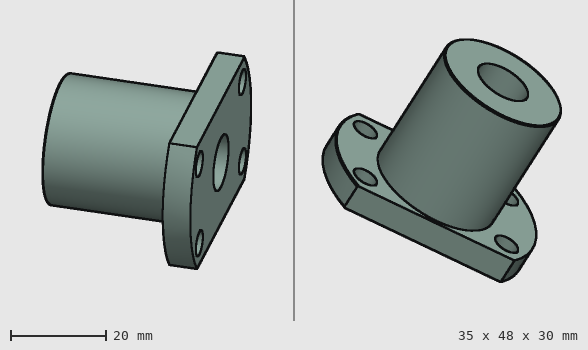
import cadquery as cq

flange_diameter = 48.0
flange_height = 30.0
flange_thickness = 6.0
flange_chamfer = 0.25

overall_length = 35.0
body_diameter = 28.0
bore_diameter = 12.0
nose_chamfer = 0.25

hole_diameter = 5.5
hole_circle_diameter = 39.0
hole_angle = 30.0


def make_body():
    """Cylinder with a small chamfer around its free end."""
    body = cq.Workplane("YZ").circle(body_diameter / 2).extrude(overall_length)
    return body.faces("<X").edges().chamfer(nose_chamfer)


def make_flange():
    """Disc trimmed to two flats, its +Y rounded side chamfered on both faces."""
    flange_plane = cq.Workplane("YZ", origin=(overall_length - flange_thickness, 0, 0))
    disc = flange_plane.circle(flange_diameter / 2).extrude(flange_thickness)
    trim = flange_plane.rect(flange_diameter, flange_height).extrude(flange_thickness)
    flange = disc.intersect(trim)
    rim_edges = flange.edges("%CIRCLE").edges(">Y")
    return rim_edges.chamfer(flange_chamfer)


def make_holes():
    """Central bore and the four mounting holes, as cutting cylinders."""
    bore = cq.Workplane("YZ").circle(bore_diameter / 2).extrude(overall_length)
    mounting_holes = cq.Workplane("YZ")
    for start_angle in (-hole_angle, 180 - hole_angle):
        mounting_holes = mounting_holes.polarArray(
            hole_circle_diameter / 2, start_angle, 2 * hole_angle, 2
        ).circle(hole_diameter / 2).extrude(overall_length)
    return bore.union(mounting_holes)


result = make_body().union(make_flange()).cut(make_holes())